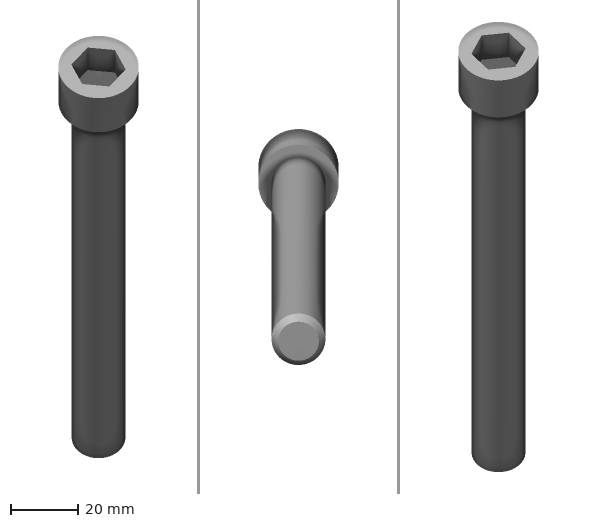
import cadquery as cq
import math

total_length = 176.0
shank_diameter = 16.0
head_diameter = 24.0
head_height = shank_diameter
shank_length = total_length - head_height
tip_chamfer = 2.0

socket_across_flats = 14.0
socket_depth = 10.5
socket_across_corners = socket_across_flats / math.cos(math.pi / 6)


def make_shank():
    """Plain cylinder from Z = 0 up to the head, chamfered at the tip."""
    shank = cq.Workplane("XY").circle(shank_diameter / 2).extrude(shank_length)
    return shank.faces("<Z").chamfer(tip_chamfer)


def make_head():
    """Cylindrical head with a blind hexagon socket in its top face."""
    head = cq.Workplane("XY").workplane(offset=shank_length)
    head = head.circle(head_diameter / 2).extrude(head_height)
    socket = head.faces(">Z").workplane().polygon(6, socket_across_corners)
    return socket.cutBlind(-socket_depth)


result = make_shank().union(make_head())